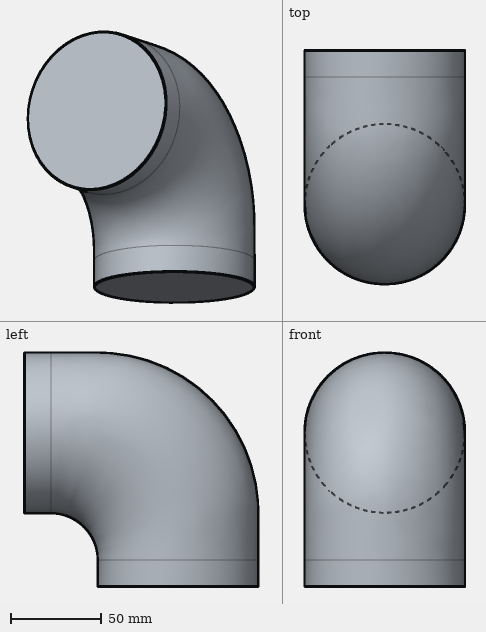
import cadquery as cq
import math

outside_diameter = 89.0
overall_length = 129.7
collar_length = 15.0
edge_chamfer = 0.5
bend_steps = 36

pipe_radius = outside_diameter / 2
end_distance = overall_length - pipe_radius
pivot_distance = end_distance - collar_length
inner_bend_radius = pivot_distance - pipe_radius

outer_bend_radius = outside_diameter
corner_distance = inner_bend_radius * math.sqrt(2)
straight_back_angle = math.atan2(inner_bend_radius, pivot_distance + pipe_radius)


def back_distance(angle):
    """Distance from the inner bend centre to the back of the elbow, along a ray at this angle."""
    from_leg = min(angle, math.pi / 2 - angle)
    if from_leg <= straight_back_angle:
        return (pivot_distance + pipe_radius) / math.cos(from_leg)
    from_diagonal = math.pi / 4 - from_leg
    along = corner_distance * math.cos(from_diagonal)
    across = corner_distance * math.sin(from_diagonal)
    return along + math.sqrt(outer_bend_radius**2 - across**2)


def bend_section(angle):
    """Elliptical cross-section in the plane through the inner bend centre at this angle."""
    ray = cq.Vector(0, -math.cos(angle), math.sin(angle))
    along_bend = cq.Vector(0, math.sin(angle), math.cos(angle))
    bend_centre = cq.Vector(0, pivot_distance, -pivot_distance)
    back = back_distance(angle)
    centre = bend_centre + ray * ((back + inner_bend_radius) / 2)
    half_depth = (back - inner_bend_radius) / 2
    plane = cq.Plane(origin=centre, xDir=ray, normal=along_bend)
    return cq.Workplane(plane).ellipse(half_depth, pipe_radius).wires().val()


def make_bend():
    angles = [math.pi / 2 * step / bend_steps for step in range(bend_steps + 1)]
    return cq.Workplane(cq.Solid.makeLoft([bend_section(angle) for angle in angles]))


def make_collar(end_centre, outward):
    """Cylinder ending at end_centre, with its end edge chamfered."""
    plane = cq.Plane(origin=end_centre, xDir=(1, 0, 0), normal=outward)
    collar = cq.Workplane(plane).circle(pipe_radius).extrude(-collar_length)
    return collar.faces(cq.selectors.DirectionMinMaxSelector(cq.Vector(outward))).chamfer(edge_chamfer)


lower_collar = make_collar((0, 0, -end_distance), (0, 0, -1))
rear_collar = make_collar((0, end_distance, 0), (0, 1, 0))

result = make_bend().union(lower_collar).union(rear_collar)